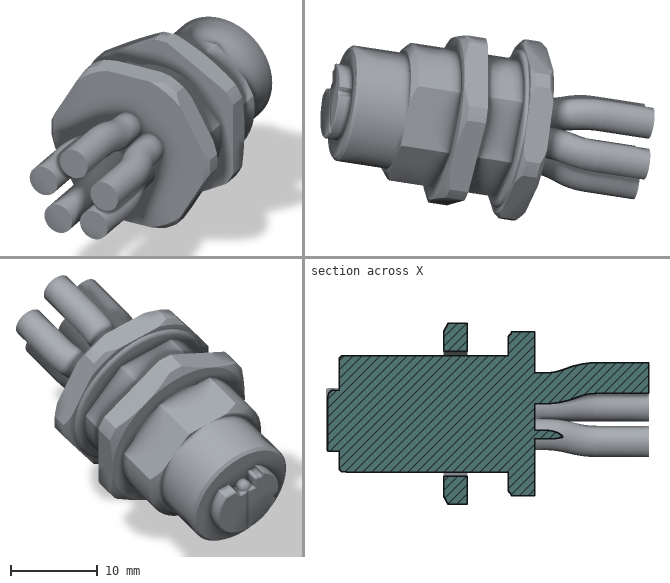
import cadquery as cq
import math


HEX_ACROSS_FLATS = 18.95

FLANGE_THICKNESS = 2.75
FLANGE_CORNER_DIAMETER = 20.9
FLANGE_BEVEL_DEPTH = 0.55
FLANGE_LOWER_BEVEL = 0.55
FLANGE_UPPER_BEVEL = 0.5
COLLAR_HEIGHT = 0.37
COLLAR_DIAMETER = 18.55
COLLAR_ROUNDING = 0.55

BODY_DIAMETER = 16.1
BODY_END = 16.35
BODY_BEVEL_LENGTH = 0.7
BODY_BEVEL_DEPTH = 0.85
SHELL_DIAMETER = 13.5
SHELL_END = 22.6
SHELL_CHAMFER = 0.35
FLAT_PAIR_ANGLES = (0, 45)

NUT_START = 7.8
NUT_THICKNESS = 2.8
NUT_CORNER_DIAMETER = 20.97
NUT_BEVEL_LENGTH = 0.55
NUT_BORE_DIAMETER = 14.38

INSERT_DIAMETER = 8.7
INSERT_END = 24.1
INSERT_CHAMFER = 0.15
FACE_NOTCH_WIDTH = 0.9
FACE_NOTCH_DEPTH = 0.2
KEYWAY_LEFT = -1.97
KEYWAY_ROUNDING = 0.25
STEP_RADIUS = 3.72
CHANNEL_HALF_WIDTH = 0.95
CHANNEL_FLOOR = 1.97
RAMP_FOOT = 1.08
LAND_LEFT = 1.75
LAND_HEIGHT = 2.98
SIDE_GROOVE_TOP = -0.85
SIDE_GROOVE_FLOOR_TOP = -1.08
SIDE_GROOVE_FLOOR_BOTTOM = -1.53
SIDE_GROOVE_BOTTOM = -1.85
SIDE_GROOVE_DEPTH = 0.65
PIN_DIAMETER = 1.6
PIN_END = 23.9

WIRE_DIAMETER = 3.6
WIRE_CIRCLE_RADIUS = 2.95
WIRE_SPREAD = 1.2
WIRE_LEAD = 1.1
WIRE_BEND_LENGTH = 6.07
WIRE_TAIL = 5.95
FIRST_WIRE_ANGLE = 18
SPREAD_ANGLES = (0, 90, 180, 254, 318)


def section_at(y):
    """Workplane across the axis at height y; a negative extrusion runs towards +Y."""
    return cq.Workplane("XZ", origin=(0, y, 0))


def turned(points):
    """Solid of revolution about Y from (radius, y) points."""
    return cq.Workplane("XY").polyline(points).close().revolve(360, (0, 0), (0, 1))


def hexagon(start, thickness):
    """Hexagonal prism with two flats facing +Z and -Z."""
    corner_to_corner = HEX_ACROSS_FLATS / math.cos(math.pi / 6)
    return section_at(start).polygon(6, corner_to_corner).extrude(-thickness)


def make_flange():
    """Hexagonal flange bevelled on both faces, with a rounded collar towards +Y."""
    radius = FLANGE_CORNER_DIAMETER / 2
    face_radius = radius - FLANGE_BEVEL_DEPTH
    envelope = turned([
        (0, 0),
        (face_radius, 0),
        (radius, FLANGE_LOWER_BEVEL),
        (radius, FLANGE_THICKNESS - FLANGE_UPPER_BEVEL),
        (face_radius, FLANGE_THICKNESS),
        (0, FLANGE_THICKNESS),
    ])
    collar = section_at(0).circle(COLLAR_DIAMETER / 2).extrude(-FLANGE_THICKNESS - COLLAR_HEIGHT)
    collar = collar.faces(">Y").edges().fillet(COLLAR_ROUNDING)
    return hexagon(0, FLANGE_THICKNESS).intersect(envelope).union(collar)


def make_body():
    """Threaded body with two pairs of flats level with the shell."""
    radius = BODY_DIAMETER / 2
    body = turned([
        (0, 0),
        (radius, 0),
        (radius, BODY_END - BODY_BEVEL_LENGTH),
        (radius - BODY_BEVEL_DEPTH, BODY_END),
        (0, BODY_END),
    ])
    for angle in FLAT_PAIR_ANGLES:
        slab = section_at(0).rect(BODY_DIAMETER, SHELL_DIAMETER).extrude(-BODY_END)
        body = body.intersect(slab.rotate((0, 0, 0), (0, 1, 0), angle))
    return body


def make_shell():
    shell = section_at(0).circle(SHELL_DIAMETER / 2).extrude(-SHELL_END)
    return shell.faces(">Y").chamfer(SHELL_CHAMFER)


def make_nut():
    """Nut with a round bore, turned so that two corners point along Z."""
    end = NUT_START + NUT_THICKNESS
    radius = NUT_CORNER_DIAMETER / 2
    envelope = turned([
        (0, NUT_START),
        (radius, NUT_START),
        (radius, end - NUT_BEVEL_LENGTH),
        (HEX_ACROSS_FLATS / 2, end),
        (0, end),
    ])
    blank = hexagon(NUT_START, NUT_THICKNESS).rotate((0, 0, 0), (0, 1, 0), 90)
    bore = section_at(NUT_START).circle(NUT_BORE_DIAMETER / 2).extrude(-NUT_THICKNESS)
    return blank.intersect(envelope).cut(bore)


def height_on_circle(radius, offset):
    """Distance from the axis of a circle point along one direction, given its offset in the other."""
    return math.sqrt(radius**2 - offset**2)


def make_keyway(length):
    """Cutter for the top of the insert: curved step, pin channel, ramp and flat land."""
    step_start = height_on_circle(STEP_RADIUS, KEYWAY_LEFT)
    step_end = height_on_circle(STEP_RADIUS, CHANNEL_HALF_WIDTH)
    step_middle_x = (KEYWAY_LEFT - CHANNEL_HALF_WIDTH) / 2
    step_middle = height_on_circle(STEP_RADIUS, step_middle_x)
    top = INSERT_DIAMETER / 2
    cutter = (
        section_at(SHELL_END)
        .moveTo(KEYWAY_LEFT, top)
        .lineTo(KEYWAY_LEFT, step_start)
        .threePointArc((step_middle_x, step_middle), (-CHANNEL_HALF_WIDTH, step_end))
        .lineTo(-CHANNEL_HALF_WIDTH, CHANNEL_FLOOR)
        .lineTo(RAMP_FOOT, CHANNEL_FLOOR)
        .lineTo(LAND_LEFT, LAND_HEIGHT)
        .lineTo(top, LAND_HEIGHT)
        .lineTo(top, top)
        .close()
        .extrude(-length)
    )
    rounded_corners = [
        (KEYWAY_LEFT, step_start),
        (-CHANNEL_HALF_WIDTH, step_end),
        (RAMP_FOOT, CHANNEL_FLOOR),
        (LAND_LEFT, LAND_HEIGHT),
    ]
    for x, z in rounded_corners:
        corner = cq.selectors.NearestToPointSelector((x, SHELL_END + length / 2, z))
        cutter = cutter.edges("|Y").edges(corner).fillet(KEYWAY_ROUNDING)
    return cutter


def make_side_groove(length):
    """Cutter for the sloped groove in the -X side of the insert."""
    radius = INSERT_DIAMETER / 2
    floor = SIDE_GROOVE_DEPTH - radius
    return (
        section_at(SHELL_END)
        .moveTo(-radius, SIDE_GROOVE_TOP)
        .lineTo(-height_on_circle(radius, SIDE_GROOVE_TOP), SIDE_GROOVE_TOP)
        .lineTo(floor, SIDE_GROOVE_FLOOR_TOP)
        .lineTo(floor, SIDE_GROOVE_FLOOR_BOTTOM)
        .lineTo(-height_on_circle(radius, SIDE_GROOVE_BOTTOM), SIDE_GROOVE_BOTTOM)
        .lineTo(-radius, SIDE_GROOVE_BOTTOM)
        .close()
        .extrude(-length)
    )


def make_insert():
    """Contact insert with a keyway, a side groove and a V notch across its end face."""
    length = INSERT_END - SHELL_END
    insert = section_at(SHELL_END).circle(INSERT_DIAMETER / 2).extrude(-length)
    insert = insert.cut(make_keyway(length)).cut(make_side_groove(length))

    land_end = height_on_circle(INSERT_DIAMETER / 2, LAND_HEIGHT)
    land_corner = cq.selectors.NearestToPointSelector((land_end, SHELL_END + length / 2, LAND_HEIGHT))
    insert = insert.edges("|Y").edges(land_corner).fillet(KEYWAY_ROUNDING)
    insert = insert.faces(">Y").chamfer(INSERT_CHAMFER)

    notch = (
        cq.Workplane("XY")
        .moveTo(-FACE_NOTCH_WIDTH / 2, INSERT_END)
        .lineTo(0, INSERT_END - FACE_NOTCH_DEPTH)
        .lineTo(FACE_NOTCH_WIDTH / 2, INSERT_END)
        .close()
        .extrude(INSERT_DIAMETER / 2, both=True)
    )
    return insert.cut(notch)


def make_pin():
    """Round-nosed pin half sunk into the floor of the keyway channel."""
    radius = PIN_DIAMETER / 2
    nose_start = PIN_END - radius
    shank = (
        cq.Workplane("XZ", origin=(0, SHELL_END, CHANNEL_FLOOR))
        .circle(radius)
        .extrude(SHELL_END - nose_start)
    )
    nose = cq.Workplane("XY", origin=(0, nose_start, CHANNEL_FLOOR)).sphere(radius)
    return shank.union(nose)


def make_wire(start_angle, spread_angle):
    """Round wire: straight lead, S-bend sideways by the spread, straight tail."""
    start = math.radians(start_angle)
    spread = math.radians(spread_angle)
    origin = (WIRE_CIRCLE_RADIUS * math.cos(start), 0, WIRE_CIRCLE_RADIUS * math.sin(start))
    sideways = cq.Vector(math.cos(spread), 0, math.sin(spread))
    outward = cq.Vector(0, -1, 0)
    bend_plane = cq.Plane(origin, sideways, sideways.cross(outward))
    bend_end = WIRE_LEAD + WIRE_BEND_LENGTH
    path = (
        cq.Workplane(bend_plane)
        .lineTo(0, WIRE_LEAD)
        .tangentArcPoint((WIRE_SPREAD / 2, WIRE_LEAD + WIRE_BEND_LENGTH / 2), relative=False)
        .tangentArcPoint((WIRE_SPREAD, bend_end), relative=False)
        .lineTo(WIRE_SPREAD, bend_end + WIRE_TAIL)
    )
    return cq.Workplane("XZ", origin=origin).circle(WIRE_DIAMETER / 2).sweep(path)


result = make_flange()
for part in (make_body(), make_shell(), make_nut(), make_insert(), make_pin()):
    result = result.union(part)

wire_pitch = 360 / len(SPREAD_ANGLES)
for index, spread_angle in enumerate(SPREAD_ANGLES):
    result = result.union(make_wire(FIRST_WIRE_ANGLE + index * wire_pitch, spread_angle))